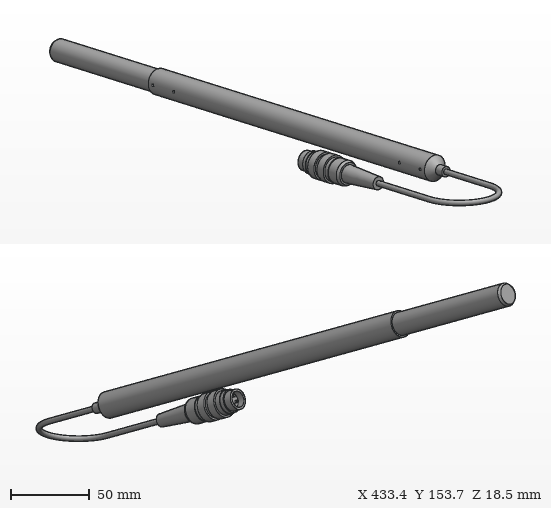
import cadquery as cq
import math

tilt_angle = -13.1

probe_dia = 15.0
probe_length = 99.0
tip_dia = 13.0
tip_length = 1.7

handle_dia = 17.5
handle_end = 368.5
tail_length = 4.8
gland_dia = 7.0
gland_start = handle_end + tail_length
gland_end = gland_start + 6.0

pin_hole_dia = 1.7
pin_hole_depth = 2.0
pin_hole_inset = 4.5
pin_hole_spacing = 20.5

cable_dia = 3.7
bend_start = 421.7
bend_radius = 25.0
connector_axis_y = -2 * bend_radius

connector_front = 301.2
nose_dia = 13.5
nose_end = 307.0
neck_dia = 15.0
neck_end = 310.0
shoulder_dia = 16.0
ring_dia = 18.5
ring_length = 6.0
ring_starts = (314.0, 323.0)
rear_dia = 17.0
rear_start = 332.5
rear_end = 343.0
rear_bevel_length = 2.0
rear_bevel_height = 1.1

socket_dia = 10.5
socket_depth = 5.0
contact_dia = 1.7
contact_height = 1.7
contact_circle_dia = 6.0
contact_count = 4

boot_end = 372.0
boot_start_dia = 12.0
boot_end_dia = 8.5


def turned(stations):
    """A solid of revolution about the X axis; each station is (x, diameter)."""
    outline = [(x, dia / 2) for x, dia in stations]
    first_x = stations[0][0]
    last_x = stations[-1][0]
    profile = [(first_x, 0), *outline, (last_x, 0)]
    return cq.Workplane("XY").polyline(profile).close().revolve(360, (0, 0), (1, 0))


def rod(start, end, dia):
    """A plain cylinder on the X axis."""
    return turned([(start, dia), (end, dia)])


def make_probe():
    return turned([(0, tip_dia), (tip_length, probe_dia), (probe_length, probe_dia)])


def make_handle():
    handle = turned([
        (probe_length, handle_dia),
        (handle_end, handle_dia),
        (gland_start, gland_dia),
        (gland_end, gland_dia),
    ])
    front_hole = probe_length + pin_hole_inset
    rear_hole = handle_end - pin_hole_inset
    hole_places = (
        front_hole,
        front_hole + pin_hole_spacing,
        rear_hole - pin_hole_spacing,
        rear_hole,
    )
    hole_floor_y = -handle_dia / 2 + pin_hole_depth
    for x in hole_places:
        floor = cq.Workplane("XZ", origin=(x, hole_floor_y, 0))
        handle = handle.cut(floor.circle(pin_hole_dia / 2).extrude(handle_dia))
    return handle


def make_cable():
    bend_middle = (bend_start + bend_radius, -bend_radius)
    path = (
        cq.Workplane("XY")
        .moveTo(gland_end, 0)
        .lineTo(bend_start, 0)
        .threePointArc(bend_middle, (bend_start, connector_axis_y))
        .lineTo(boot_end, connector_axis_y)
    )
    return cq.Workplane("YZ", origin=(gland_end, 0, 0)).circle(cable_dia / 2).sweep(path)


def make_contact(index):
    """One contact pin on the socket floor."""
    angle = 2 * math.pi * index / contact_count
    y = contact_circle_dia / 2 * math.cos(angle)
    z = contact_circle_dia / 2 * math.sin(angle)
    floor_x = connector_front + socket_depth
    return rod(floor_x - contact_height, floor_x, contact_dia).translate((0, y, z))


def make_connector():
    connector = rod(connector_front, nose_end, nose_dia)
    connector = connector.union(rod(nose_end, neck_end, neck_dia))
    connector = connector.union(rod(neck_end, rear_start, shoulder_dia))
    for start in ring_starts:
        connector = connector.union(rod(start, start + ring_length, ring_dia))
    rear = turned([
        (rear_start, rear_dia),
        (rear_end - rear_bevel_length, rear_dia),
        (rear_end, rear_dia - 2 * rear_bevel_height),
    ])
    connector = connector.union(rear)
    connector = connector.cut(rod(connector_front, connector_front + socket_depth, socket_dia))
    for index in range(contact_count):
        connector = connector.union(make_contact(index))
    return connector.translate((0, connector_axis_y, 0))


def make_boot():
    boot = turned([(rear_end, boot_start_dia), (boot_end, boot_end_dia)])
    return boot.translate((0, connector_axis_y, 0))


probe = make_probe()
handle = make_handle()
cable = make_cable()
connector = make_connector()
boot = make_boot()

bodies = [probe, handle, cable, connector, boot]
tilted_bodies = [body.rotate((0, 0, 0), (0, 0, 1), tilt_angle) for body in bodies]
result = cq.Compound.makeCompound([body.val() for body in tilted_bodies])